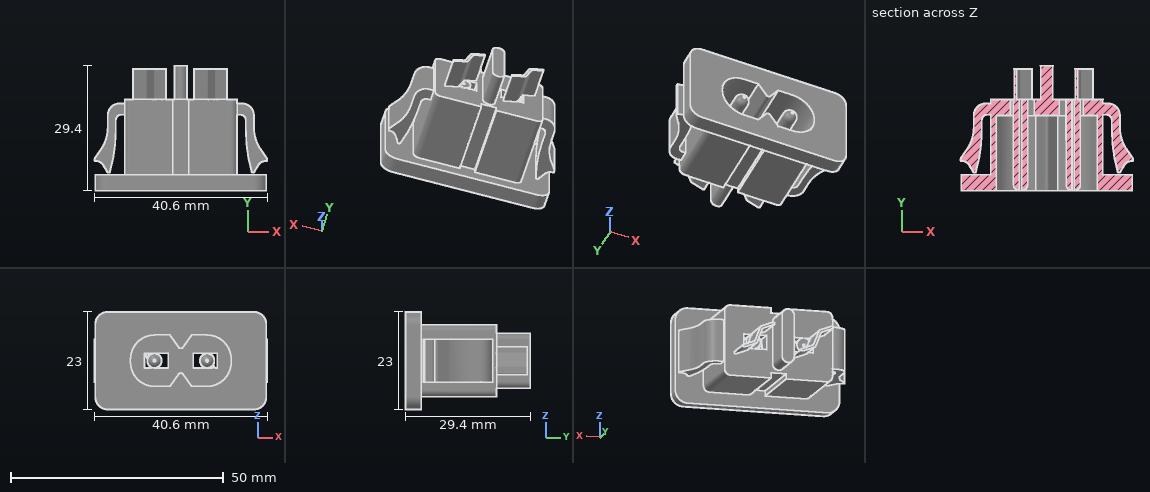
import cadquery as cq
import math


FLANGE_WIDTH = 40.3
FLANGE_HEIGHT = 23.03
FLANGE_DEPTH = 3.8
FLANGE_CORNER_RADIUS = 3.0

BODY_WIDTH = 26.48
BODY_HEIGHT = 17.0
BODY_REAR = 21.48
BODY_CORNER_RADIUS = 1.45
GROOVE_WIDTH = 3.7
GROOVE_DEPTH = 1.25

RIB_WIDTH = 3.0
RIB_HEIGHT = 13.0
RIB_REAR = 29.44

REAR_WALL = 3.8
SOCKET_WIDTH = 23.7
SOCKET_HEIGHT = 12.1
SOCKET_CORNER_RADIUS = 5.7
NOTCH_HALF_WIDTH = 2.57
NOTCH_DEPTH = 3.6
NOTCH_TIP_RADIUS = 0.6

PIN_OFFSET = 6.2
PIN_RADIUS = 1.72
PIN_NOSE_RADIUS = 1.5
PIN_BORE_RADIUS = 0.25
WINDOW_OFFSET = 5.75
WINDOW_WIDTH = 5.56
WINDOW_HEIGHT = 3.4

TERMINAL_CENTERS = (-7.39, 6.97)
TERMINAL_REAR = 28.66
TERMINAL_THICKNESS = 0.64
TERMINAL_LEAN = math.radians(21.3)
TERMINAL_WEB_LENGTH = 3.9
TERMINAL_WING_LENGTH = 3.4
TERMINAL_BEND_RADIUS = 0.7
TERMINAL_TIP_RADIUS = 0.3

CLIP_HEIGHT = 10.1
CLIP_TIP_X = 20.31
CLIP_ARM_REAR = 20.57
CLIP_ARM_THICKNESS = 2.71
CLIP_LEG_OUTER = 17.23
CLIP_LEG_THICKNESS = 1.96
CLIP_OUTER_BEND = 2.85
CLIP_INNER_BEND = 1.25


def block(width, height, front, rear):
    """Box centred on the Y axis between two Y positions."""
    return cq.Workplane("XY").box(width, rear - front, height).translate((0, (front + rear) / 2, 0))


def make_flange():
    flange = block(FLANGE_WIDTH, FLANGE_HEIGHT, 0, FLANGE_DEPTH)
    return flange.edges("|Y").fillet(FLANGE_CORNER_RADIUS)


def make_body():
    """Rounded block with a shallow groove along the middle of its top and bottom."""
    body = block(BODY_WIDTH, BODY_HEIGHT, FLANGE_DEPTH, BODY_REAR)
    body = body.edges("|Y").fillet(BODY_CORNER_RADIUS)
    groove = block(GROOVE_WIDTH, 2 * GROOVE_DEPTH, FLANGE_DEPTH, BODY_REAR)
    for side in (-1, 1):
        body = body.cut(groove.translate((0, 0, side * BODY_HEIGHT / 2)))
    return body


def make_rib():
    """Upright rib with full-round upper and lower ends."""
    rib = cq.Workplane("XZ").slot2D(RIB_HEIGHT, RIB_WIDTH, 90).extrude(BODY_REAR - RIB_REAR)
    return rib.translate((0, BODY_REAR, 0))


def make_socket():
    """Cavity with fully rounded corners, pinched by a V-shaped notch above and below."""
    depth = BODY_REAR - REAR_WALL
    half_height = SOCKET_HEIGHT / 2
    cavity = block(SOCKET_WIDTH, SOCKET_HEIGHT, 0, depth).edges("|Y").fillet(SOCKET_CORNER_RADIUS)
    notch = (
        cq.Workplane("XZ")
        .moveTo(-NOTCH_HALF_WIDTH, half_height)
        .lineTo(NOTCH_HALF_WIDTH, half_height)
        .lineTo(0, half_height - NOTCH_DEPTH)
        .close()
        .extrude(-depth)
        .edges("|Y and <Z")
        .fillet(NOTCH_TIP_RADIUS)
    )
    return cavity.cut(notch).cut(notch.mirror("XY"))


def make_windows():
    window = block(WINDOW_WIDTH, WINDOW_HEIGHT, BODY_REAR - REAR_WALL, BODY_REAR)
    left = window.translate((-WINDOW_OFFSET, 0, 0))
    right = window.translate((WINDOW_OFFSET, 0, 0))
    return left.union(right)


def make_pin(x):
    """Hollow pin with a rounded nose level with the front face."""
    pin = cq.Workplane("XZ").circle(PIN_RADIUS).extrude(-BODY_REAR)
    pin = pin.faces("<Y").edges().fillet(PIN_NOSE_RADIUS)
    bore = cq.Workplane("XZ").circle(PIN_BORE_RADIUS).extrude(-BODY_REAR)
    return pin.cut(bore).translate((x, 0, 0))


def make_terminal(x):
    """Z-shaped strip: a leaning web with a sloping wing at each end."""
    sin_lean = math.sin(TERMINAL_LEAN)
    cos_lean = math.cos(TERMINAL_LEAN)
    half_web = TERMINAL_WEB_LENGTH / 2
    bend = (half_web * sin_lean, -half_web * cos_lean)
    tip = (
        bend[0] + TERMINAL_WING_LENGTH * cos_lean,
        bend[1] - TERMINAL_WING_LENGTH * sin_lean,
    )
    miter = TERMINAL_THICKNESS / 2 / (cos_lean + sin_lean)
    shift_x = TERMINAL_THICKNESS / 2 * sin_lean
    shift_z = TERMINAL_THICKNESS / 2 * cos_lean
    upper_side = [
        (-tip[0] + shift_x, -tip[1] + shift_z),
        (-bend[0] + miter, -bend[1] + miter),
        (bend[0] + miter, bend[1] + miter),
        (tip[0] + shift_x, tip[1] + shift_z),
    ]
    lower_side = [(-px, -pz) for px, pz in upper_side]
    strip = cq.Workplane("XZ").polyline(upper_side + lower_side).close().extrude(BODY_REAR - TERMINAL_REAR)
    reach = (bend[0] + tip[0]) / 2
    bend_zone = cq.selectors.BoxSelector((-reach, -TERMINAL_REAR, tip[1]), (reach, TERMINAL_REAR, -tip[1]))
    strip = strip.edges("|Y").edges(bend_zone).fillet(TERMINAL_BEND_RADIUS)
    for end in ("<X", ">X"):
        strip = strip.faces(end).edges("|Y").fillet(TERMINAL_TIP_RADIUS)
    return strip.translate((x, BODY_REAR, 0))


def make_clip():
    """Right-hand clip: an arm from the body side that bends forward to a barbed foot."""
    root_x = BODY_WIDTH / 2
    arm_front = CLIP_ARM_REAR - CLIP_ARM_THICKNESS
    leg_inner = CLIP_LEG_OUTER - CLIP_LEG_THICKNESS
    inner_bend_x = leg_inner - CLIP_INNER_BEND
    outer_bend_x = CLIP_LEG_OUTER - CLIP_OUTER_BEND
    flank_start = (CLIP_LEG_OUTER, 14.9)
    flank_end = (18.43, 10.32)
    barb_rear = (20.2, 7.75)
    barb_tip = (CLIP_TIP_X, 7.4)
    barb_front = (20.25, 6.97)
    hollow_middle = (19.15, 6.8)
    hollow_end = (18.43, 6.29)
    foot_outer = (17.38, 4.54)
    foot_tip = (17.0, 4.22)
    foot_inner = (16.62, 4.62)
    inner_middle = (15.6, 9.4)
    inner_end = (leg_inner, 14.2)
    profile = (
        cq.Workplane("XY")
        .moveTo(root_x, CLIP_ARM_REAR)
        .lineTo(outer_bend_x, CLIP_ARM_REAR)
        .tangentArcPoint((CLIP_LEG_OUTER, CLIP_ARM_REAR - CLIP_OUTER_BEND), relative=False)
        .lineTo(*flank_start)
        .tangentArcPoint(flank_end, relative=False)
        .lineTo(*barb_rear)
        .threePointArc(barb_tip, barb_front)
        .threePointArc(hollow_middle, hollow_end)
        .lineTo(*foot_outer)
        .threePointArc(foot_tip, foot_inner)
        .threePointArc(inner_middle, inner_end)
        .lineTo(leg_inner, arm_front - CLIP_INNER_BEND)
        .tangentArcPoint((inner_bend_x, arm_front), relative=False)
        .lineTo(root_x, arm_front)
        .close()
    )
    return profile.extrude(CLIP_HEIGHT).translate((0, 0, -CLIP_HEIGHT / 2))


def make_inlet():
    inlet = make_flange().union(make_body()).union(make_rib())
    inlet = inlet.cut(make_socket()).cut(make_windows())
    clip = make_clip()
    inlet = inlet.union(clip).union(clip.mirror("YZ"))
    for side in (-1, 1):
        inlet = inlet.union(make_pin(side * PIN_OFFSET))
    for center in TERMINAL_CENTERS:
        inlet = inlet.union(make_terminal(center))
    return inlet


result = make_inlet().solids()